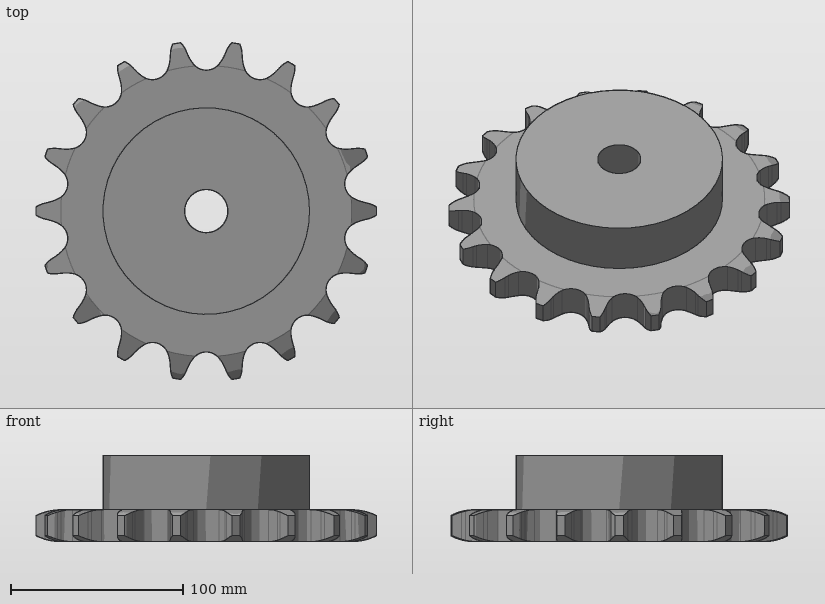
import cadquery as cq
import math

TOOTH_COUNT = 18
OUTER_DIAMETER = 198.0
PITCH_DIAMETER = 183.0
ROLLER_DIAMETER = 19.0
PLATE_THICKNESS = 18.6
TOTAL_HEIGHT = 50.0
HUB_DIAMETER = 120.0
BORE_DIAMETER = 25.0
BEVEL_START_RADIUS = 84.5

OUTER_RADIUS = OUTER_DIAMETER / 2
PITCH_RADIUS = PITCH_DIAMETER / 2
TOOTH_ANGLE = 360 / TOOTH_COUNT
CHAIN_PITCH = PITCH_DIAMETER * math.sin(math.pi / TOOTH_COUNT)

SEAT_RADIUS = 0.5025 * ROLLER_DIAMETER
WORKING_CENTER_DISTANCE = 0.8 * ROLLER_DIAMETER
TOPPING_CENTER_DISTANCE = 1.4 * ROLLER_DIAMETER
WORKING_RADIUS = SEAT_RADIUS + WORKING_CENTER_DISTANCE
SEAT_END_ANGLE = math.radians(35 + 60 / TOOTH_COUNT)
WORKING_ARC_ANGLE = math.radians(18 - 56 / TOOTH_COUNT)
FLANK_ANGLE = SEAT_END_ANGLE - WORKING_ARC_ANGLE

CUT_CLEARANCE = 1.0
GAP_CUT_RADIUS = OUTER_RADIUS + CUT_CLEARANCE


def offset(point, distance, angle):
    """Point at a distance from another, at an angle below the +X direction."""
    return (point[0] + distance * math.cos(angle), point[1] - distance * math.sin(angle))


def mirrored(point):
    """The point on the other side of the gap's centre line."""
    return (-point[0], point[1])


def sprocket_blank():
    """Round plate whose rim is bevelled on both faces by arcs of one chain pitch."""

    def bevel_depth(radius):
        run = radius - BEVEL_START_RADIUS
        return CHAIN_PITCH - math.sqrt(CHAIN_PITCH**2 - run**2)

    middle_radius = (BEVEL_START_RADIUS + OUTER_RADIUS) / 2
    middle_depth = bevel_depth(middle_radius)
    rim_depth = bevel_depth(OUTER_RADIUS)
    return (
        cq.Workplane("XZ")
        .lineTo(BEVEL_START_RADIUS, 0)
        .threePointArc((middle_radius, middle_depth), (OUTER_RADIUS, rim_depth))
        .lineTo(OUTER_RADIUS, PLATE_THICKNESS - rim_depth)
        .threePointArc(
            (middle_radius, PLATE_THICKNESS - middle_depth),
            (BEVEL_START_RADIUS, PLATE_THICKNESS),
        )
        .lineTo(0, PLATE_THICKNESS)
        .close()
        .revolve(360, (0, 0, 0), (0, 1, 0))
    )


def tooth_gap():
    """Cutter for one gap, centred on the +Y axis."""
    seat_center = (0, PITCH_RADIUS)
    seat_bottom = (0, PITCH_RADIUS - SEAT_RADIUS)
    seat_end = offset(seat_center, SEAT_RADIUS, SEAT_END_ANGLE)

    working_center = offset(seat_center, -WORKING_CENTER_DISTANCE, SEAT_END_ANGLE)
    working_middle = offset(working_center, WORKING_RADIUS, SEAT_END_ANGLE - WORKING_ARC_ANGLE / 2)
    working_end = offset(working_center, WORKING_RADIUS, FLANK_ANGLE)

    topping_center = offset(seat_center, TOPPING_CENTER_DISTANCE, math.pi / TOOTH_COUNT)
    topping_radius = (
        (topping_center[0] - working_end[0]) * math.cos(FLANK_ANGLE)
        - (topping_center[1] - working_end[1]) * math.sin(FLANK_ANGLE)
    )
    flank_end = offset(topping_center, -topping_radius, FLANK_ANGLE)

    center_radius = math.hypot(*topping_center)
    reach = (GAP_CUT_RADIUS**2 - topping_radius**2 + center_radius**2) / (2 * center_radius)
    tip_polar_angle = math.atan2(*topping_center) - math.acos(reach / GAP_CUT_RADIUS)
    tip = (GAP_CUT_RADIUS * math.sin(tip_polar_angle), GAP_CUT_RADIUS * math.cos(tip_polar_angle))
    tip_angle = math.atan2(topping_center[1] - tip[1], tip[0] - topping_center[0])
    topping_middle_angle = (FLANK_ANGLE - math.pi + tip_angle) / 2
    topping_middle = offset(topping_center, topping_radius, topping_middle_angle)

    return (
        cq.Workplane("XY")
        .moveTo(*mirrored(tip))
        .threePointArc(mirrored(topping_middle), mirrored(flank_end))
        .lineTo(*mirrored(working_end))
        .threePointArc(mirrored(working_middle), mirrored(seat_end))
        .threePointArc(seat_bottom, seat_end)
        .threePointArc(working_middle, working_end)
        .lineTo(*flank_end)
        .threePointArc(topping_middle, tip)
        .threePointArc((0, GAP_CUT_RADIUS), mirrored(tip))
        .close()
        .extrude(PLATE_THICKNESS)
    )


def hub():
    return cq.Workplane("XY").circle(HUB_DIAMETER / 2).extrude(TOTAL_HEIGHT)


def bore():
    return cq.Workplane("XY").circle(BORE_DIAMETER / 2).extrude(TOTAL_HEIGHT)


sprocket = sprocket_blank()
gap = tooth_gap()
for index in range(TOOTH_COUNT):
    sprocket = sprocket.cut(gap.rotate((0, 0, 0), (0, 0, 1), index * TOOTH_ANGLE))

result = sprocket.union(hub()).cut(bore())